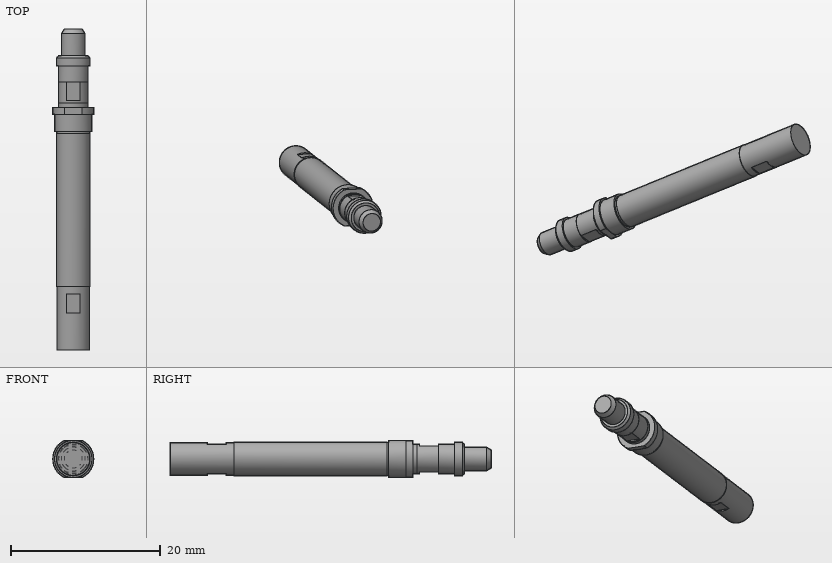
import cadquery as cq

TIP_TAPER_END = 0.65
COLLAR_START = 3.6
COLLAR_TAPER_END = 3.9
COLLAR_END = 4.95
NECK_START = 7.1
NECK_END = 9.95
FLANGE_START = 10.5
FLANGE_END = 11.45
BARREL_END = 13.75
GROOVE_END = 14.0
BODY_END = 34.45
LENGTH = 43.0

TIP_FACE_DIA = 2.4
TIP_DIA = 3.2
COLLAR_FRONT_DIA = 3.9
SHANK_DIA = 4.0
NECK_DIA = 3.96
FLANGE_DIA = 5.5
BARREL_DIA = 5.0
BODY_DIA = 4.5
GROOVE_DIA = 4.48
TAIL_DIA = 4.4

FLAT_LENGTH = 2.5
NECK_FLAT_START = NECK_START
NECK_FLAT_ACROSS = 3.5
TAIL_FLAT_START = 35.5
TAIL_FLAT_ACROSS = 4.0
FLANGE_FLAT_ACROSS = 4.95


def tapered_section(start, end, start_dia, end_dia):
    """Four-point profile of a section, revolved about the Y axis."""
    profile = [(0, -start), (start_dia / 2, -start), (end_dia / 2, -end), (0, -end)]
    return cq.Workplane("XY").polyline(profile).close().revolve(360, (0, 0), (0, 1))


def turned_pin():
    sections = [
        (TIP_TAPER_END, TIP_FACE_DIA, TIP_DIA),
        (COLLAR_START, TIP_DIA, TIP_DIA),
        (COLLAR_TAPER_END, COLLAR_FRONT_DIA, BODY_DIA),
        (COLLAR_END, BODY_DIA, BODY_DIA),
        (NECK_START, SHANK_DIA, SHANK_DIA),
        (NECK_END, NECK_DIA, NECK_DIA),
        (FLANGE_START, SHANK_DIA, SHANK_DIA),
        (FLANGE_END, FLANGE_DIA, FLANGE_DIA),
        (BARREL_END, BARREL_DIA, BARREL_DIA),
        (GROOVE_END, GROOVE_DIA, GROOVE_DIA),
        (BODY_END, BODY_DIA, BODY_DIA),
        (LENGTH, TAIL_DIA, TAIL_DIA),
    ]
    pin = cq.Workplane("XY")
    start = 0
    for end, start_dia, end_dia in sections:
        pin = pin.union(tapered_section(start, end, start_dia, end_dia))
        start = end
    return pin


def cut_flats(pin, start, length, across):
    """Mill a flat on the +Z and -Z sides, leaving the given distance across them."""
    for side in (1, -1):
        cutter = cq.Workplane("XY").box(FLANGE_DIA, length, FLANGE_DIA)
        height = side * (across + FLANGE_DIA) / 2
        pin = pin.cut(cutter.translate((0, -(start + length / 2), height)))
    return pin


result = turned_pin()
result = cut_flats(result, NECK_FLAT_START, FLAT_LENGTH, NECK_FLAT_ACROSS)
result = cut_flats(result, FLANGE_START, FLANGE_END - FLANGE_START, FLANGE_FLAT_ACROSS)
result = cut_flats(result, TAIL_FLAT_START, FLAT_LENGTH, TAIL_FLAT_ACROSS)